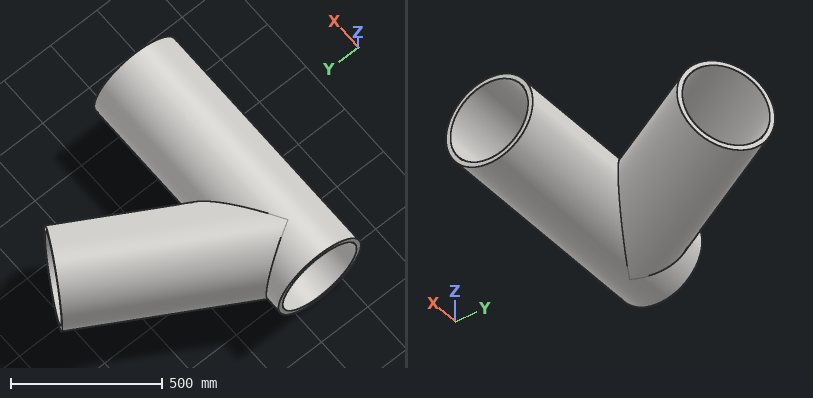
import cadquery as cq
import math

outer_diameter = 355.6
inner_diameter = 317.5

inlet_length = 165.1
outlet_length = 787.4
branch_length = 787.4

branch_angle = math.radians(60)

run_direction = cq.Vector(1, 0, 0)
branch_direction = cq.Vector(math.cos(branch_angle), math.sin(branch_angle), 0)
axes_crossing = cq.Vector(0, 0, 0)
inlet_center = run_direction * -inlet_length


def wye_body(diameter):
    """Solid run along X joined to a solid branch of the same diameter."""
    radius = diameter / 2
    run = cq.Solid.makeCylinder(radius, inlet_length + outlet_length, inlet_center, run_direction)
    branch = cq.Solid.makeCylinder(radius, branch_length, axes_crossing, branch_direction)
    return cq.Workplane(obj=run).union(cq.Workplane(obj=branch))


result = wye_body(outer_diameter).cut(wye_body(inner_diameter))